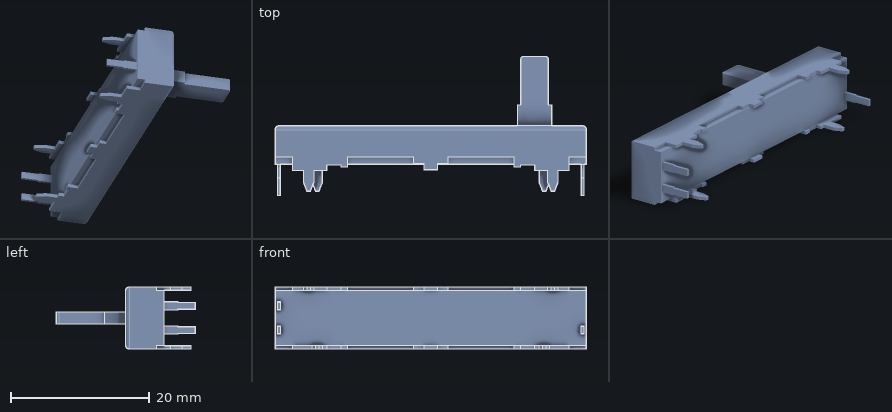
import cadquery as cq


LENGTH = 45.0
WIDTH = 9.0
COVER_DEPTH = 4.5
COVER_RADIUS = 0.6
SHEET = 0.5

BASE_BOTTOM = 5.6
BASE_WIDTH = WIDTH - 2 * SHEET

CENTRE_TAB_HALF = 1.0
CENTRE_TAB_DEPTH = 6.4
CENTRE_FLAP_HALF = 2.5
CENTRE_FLAP_DEPTH = 5.45
NOTCH_OUTER = 12.0
CRIMP_TAB_WIDTH = 1.0
CRIMP_TAB_DEPTH = 6.0
FOOT_INNER = 15.0
FOOT_OUTER = 20.0
FOOT_DEPTH = 6.5
LINK_DEPTH = 5.7

LEG_WIDTH = 1.5
LEG_TIP_WIDTH = 0.5
LEG_SHOULDER_DEPTH = 8.2
LEG_TIP_DEPTH = 9.5
LEG_X_UPPER = 17.65
LEG_X_LOWER = 16.4

TERMINAL_X = 21.95
TERMINAL_Z = 1.75
TERMINAL_THICKNESS = 0.45
TERMINAL_WIDTH = 1.2
TERMINAL_TIP_WIDTH = 1.0
TERMINAL_STEP_DEPTH = 7.6
TERMINAL_DEPTH = 10.1

LEVER_X = 15.0
LEVER_THICKNESS = 1.8
LEVER_ROOT_WIDTH = 5.0
LEVER_ROOT_HEIGHT = 3.0
LEVER_WIDTH = 4.0
LEVER_HEIGHT = 10.0
LEVER_RADIUS = 0.4


def block(x_min, x_max, y_min, y_max, z_min, z_max):
    """Axis-aligned box given by its limits."""
    return cq.Workplane("XY").box(
        x_max - x_min, y_max - y_min, z_max - z_min, centered=False
    ).translate((x_min, y_min, z_min))


def centred_block(x, z, x_size, z_size, y_min, y_max):
    """Box centred on (x, z) that spans y_min to y_max."""
    return block(x - x_size / 2, x + x_size / 2, y_min, y_max, z - z_size / 2, z + z_size / 2)


def make_cover():
    """Can with a rounded rim around its top face."""
    can = centred_block(0, 0, LENGTH, WIDTH, -COVER_DEPTH, 0)
    return can.faces(">Y").edges().fillet(COVER_RADIUS)


def make_base():
    return centred_block(0, 0, LENGTH, BASE_WIDTH, -BASE_BOTTOM, -COVER_DEPTH)


def make_leg(x, z_min):
    """Mounting leg with a tapered tip, rising into the foot above it."""
    return (
        cq.Workplane("XY", origin=(x, 0, z_min))
        .moveTo(-LEG_WIDTH / 2, -COVER_DEPTH)
        .lineTo(-LEG_WIDTH / 2, -LEG_SHOULDER_DEPTH)
        .lineTo(-LEG_TIP_WIDTH / 2, -LEG_TIP_DEPTH)
        .lineTo(LEG_TIP_WIDTH / 2, -LEG_TIP_DEPTH)
        .lineTo(LEG_WIDTH / 2, -LEG_SHOULDER_DEPTH)
        .lineTo(LEG_WIDTH / 2, -COVER_DEPTH)
        .close()
        .extrude(SHEET)
    )


def make_side_flaps(z_min, leg_x):
    """Tabs, feet and legs that hang from one long side of the cover, symmetric about X = 0."""
    z_max = z_min + SHEET
    crimp_outer = NOTCH_OUTER + CRIMP_TAB_WIDTH
    flaps = block(-CENTRE_FLAP_HALF, CENTRE_FLAP_HALF, -CENTRE_FLAP_DEPTH, -COVER_DEPTH, z_min, z_max)
    flaps = flaps.union(
        block(-CENTRE_TAB_HALF, CENTRE_TAB_HALF, -CENTRE_TAB_DEPTH, -COVER_DEPTH, z_min, z_max)
    )
    end_steps = (
        (NOTCH_OUTER, crimp_outer, CRIMP_TAB_DEPTH),
        (crimp_outer, FOOT_INNER, LINK_DEPTH),
        (FOOT_INNER, FOOT_OUTER, FOOT_DEPTH),
    )
    for side in (-1, 1):
        for inner, outer, depth in end_steps:
            x_min, x_max = sorted((side * inner, side * outer))
            flaps = flaps.union(block(x_min, x_max, -depth, -COVER_DEPTH, z_min, z_max))
        flaps = flaps.union(make_leg(side * leg_x, z_min))
    return flaps


def make_terminal(x, z):
    """Flat pin that steps to a narrower tip."""
    root = centred_block(x, z, TERMINAL_THICKNESS, TERMINAL_WIDTH, -TERMINAL_STEP_DEPTH, -COVER_DEPTH)
    tip = centred_block(x, z, TERMINAL_THICKNESS, TERMINAL_TIP_WIDTH, -TERMINAL_DEPTH, -COVER_DEPTH)
    return root.union(tip)


def make_lever():
    """Flat lever on a wider root, with its two tip corners rounded."""
    root = centred_block(LEVER_X, 0, LEVER_ROOT_WIDTH, LEVER_THICKNESS, -COVER_DEPTH, LEVER_ROOT_HEIGHT)
    blade = centred_block(LEVER_X, 0, LEVER_WIDTH, LEVER_THICKNESS, -COVER_DEPTH, LEVER_HEIGHT)
    blade = blade.faces(">Y").edges("|Z").fillet(LEVER_RADIUS)
    return root.union(blade)


result = make_cover().union(make_base()).union(make_lever())
result = result.union(make_side_flaps(WIDTH / 2 - SHEET, LEG_X_UPPER))
result = result.union(make_side_flaps(-WIDTH / 2, LEG_X_LOWER))

terminal_places = (
    (-TERMINAL_X, TERMINAL_Z),
    (-TERMINAL_X, -TERMINAL_Z),
    (TERMINAL_X, -TERMINAL_Z),
)
for terminal_x, terminal_z in terminal_places:
    result = result.union(make_terminal(terminal_x, terminal_z))